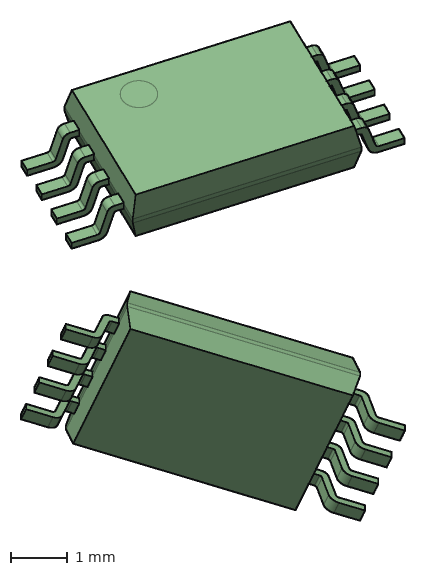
import cadquery as cq
import math

BODY_WIDTH = 3.0
BODY_LENGTH = 4.4
STANDOFF = 0.15
TOTAL_HEIGHT = 1.2
BELT_HEIGHT = 0.1
DRAFT_INSET = 0.1
PARTING_Z = (STANDOFF + TOTAL_HEIGHT) / 2

MARK_DIAMETER = 0.66
MARK_X = -0.84
MARK_Y = -1.06
MARK_DEPTH = 0.1

LEADS_PER_SIDE = 4
LEAD_PITCH = 0.65
LEAD_WIDTH = 0.25
LEAD_THICKNESS = 0.15
LEAD_SPAN = 6.4
SHOULDER_REACH = 0.285
SHOULDER_OUTER_RADIUS = 0.15
FOOT_OUTER_RADIUS = 0.2
SHOULDER_INNER_RADIUS = 0.05
FOOT_INNER_RADIUS = 0.06
LEAD_SLOPE = 73.5
LEAD_EMBED = 0.3


def make_body():
    """Two halves drafted away from a straight belt at the parting line."""
    belt = cq.Workplane("XY").box(BODY_WIDTH, BODY_LENGTH, BELT_HEIGHT)
    half_height = (TOTAL_HEIGHT - STANDOFF - BELT_HEIGHT) / 2
    draft_angle = math.degrees(math.atan(DRAFT_INSET / half_height))
    upper = belt.faces(">Z").wires().toPending().extrude(half_height, taper=draft_angle, combine=False)
    lower = upper.mirror("XY")
    return belt.union(upper).union(lower).translate((0, 0, PARTING_Z))


def make_mark():
    """Round plug whose top lies flush with the top of the body."""
    return (
        cq.Workplane("XY", origin=(MARK_X, MARK_Y, TOTAL_HEIGHT))
        .circle(MARK_DIAMETER / 2)
        .extrude(-MARK_DEPTH)
    )


def make_lead():
    """One lead on the -Y side, centred on X = 0, bent from a strip of constant thickness."""
    slope = math.radians(LEAD_SLOPE)
    shoulder_top = PARTING_Z + LEAD_THICKNESS / 2
    shoulder_bottom = shoulder_top - LEAD_THICKNESS
    root_y = -BODY_LENGTH / 2 + LEAD_EMBED
    tip_y = -LEAD_SPAN / 2

    leg_run = shoulder_bottom / math.tan(slope)
    corner_shift = LEAD_THICKNESS * math.tan(slope / 2)
    shoulder_outer = (-BODY_LENGTH / 2 - SHOULDER_REACH, shoulder_top)
    foot_inner = (shoulder_outer[0] - leg_run, LEAD_THICKNESS)
    shoulder_inner = (shoulder_outer[0] + corner_shift, shoulder_bottom)
    foot_outer = (foot_inner[0] + corner_shift, 0)

    outline = [
        (root_y, shoulder_top),
        shoulder_outer,
        foot_inner,
        (tip_y, LEAD_THICKNESS),
        (tip_y, 0),
        foot_outer,
        shoulder_inner,
        (root_y, shoulder_bottom),
    ]
    lead = cq.Workplane("YZ").polyline(outline).close().extrude(LEAD_WIDTH / 2, both=True)

    bends = [
        (shoulder_outer, SHOULDER_OUTER_RADIUS),
        (shoulder_inner, SHOULDER_INNER_RADIUS),
        (foot_inner, FOOT_INNER_RADIUS),
        (foot_outer, FOOT_OUTER_RADIUS),
    ]
    for (corner_y, corner_z), radius in bends:
        corner_edge = cq.NearestToPointSelector((0, corner_y, corner_z))
        lead = lead.edges("|X").edges(corner_edge).fillet(radius)
    return lead


def make_leads():
    """Both rows of leads as a list of solids."""
    front_lead = make_lead()
    back_lead = front_lead.mirror("XZ")
    first_x = -LEAD_PITCH * (LEADS_PER_SIDE - 1) / 2
    leads = []
    for index in range(LEADS_PER_SIDE):
        offset = (first_x + index * LEAD_PITCH, 0, 0)
        leads.append(front_lead.translate(offset))
        leads.append(back_lead.translate(offset))
    return leads


result = make_body()
for lead in make_leads():
    result = result.union(lead)
result = result.union(make_mark(), clean=False)